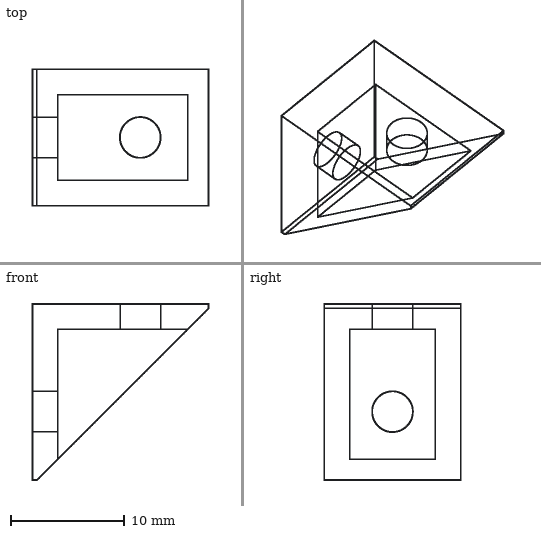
import cadquery as cq

leg = 15.56
width = 12.06
lip = 0.4

wall = 2.25
hole_diameter = 3.58
hole_offset = 9.52

block = (
    cq.Workplane("XZ")
    .lineTo(lip, 0)
    .lineTo(leg, leg - lip)
    .lineTo(leg, leg)
    .lineTo(0, leg)
    .close()
    .extrude(width / 2, both=True)
)

pocket = (
    cq.Workplane("XY")
    .box(leg, width - 2 * wall, leg)
    .translate((wall + leg / 2, 0, leg / 2 - wall))
)

top_hole = cq.Workplane("XY").center(hole_offset, 0).circle(hole_diameter / 2).extrude(leg)
side_hole = (
    cq.Workplane("YZ").center(0, leg - hole_offset).circle(hole_diameter / 2).extrude(leg)
)

result = block.cut(pocket).cut(top_hole).cut(side_hole)